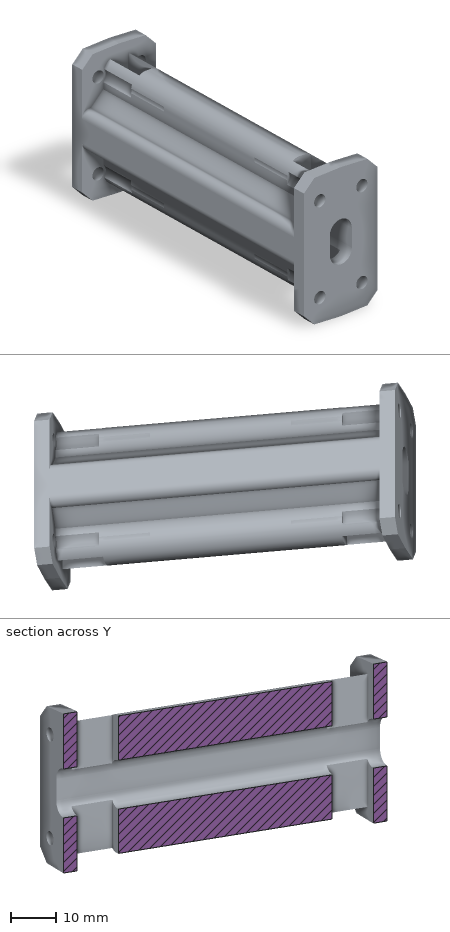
import cadquery as cq
import math

length = 82.0
width = 21.0
height = 37.0

flange_thickness = 3.5
corner_chamfer = 2.95
ridge_rise = 0.3

top_half_height = 16.0
core_width = 9.0
core_corner_radius = 4.0
slope_top_z = 8.5
shoulder_z = 5.0
shoulder_outer_y = 8.5

slot_width = 6.2
slot_height = 11.2

hole_diameter = 3.2
hole_spacing_y = 12.0
hole_spacing_z = 24.0
hole_depth = 25.0
head_clearance_diameter = 4.5
head_clearance_length = 9.8

window_width = 5.2
window_length = 10.3

half_length = length / 2
half_width = width / 2
half_height = height / 2
body_length = length - 2 * flange_thickness
flange_inner_x = half_length - flange_thickness
core_half_width = core_width / 2


def across_x(start_x):
    """Workplane at start_x whose local axes are the part's Y and Z."""
    return cq.Workplane("YZ", origin=(start_x, 0, 0))


def make_flange(start_x):
    shoulder_y = half_width - corner_chamfer
    edge_z = half_height - ridge_rise
    chamfer_z = edge_z - corner_chamfer
    outline = [
        (0, half_height),
        (shoulder_y, edge_z),
        (half_width, chamfer_z),
        (half_width, -chamfer_z),
        (shoulder_y, -edge_z),
        (0, -half_height),
        (-shoulder_y, -edge_z),
        (-half_width, -chamfer_z),
        (-half_width, chamfer_z),
        (-shoulder_y, edge_z),
    ]
    return across_x(start_x).polyline(outline).close().extrude(flange_thickness)


def make_core():
    """Tall bar with rounded long edges."""
    core = cq.Workplane("XY").box(body_length, core_width, 2 * top_half_height)
    return core.edges("|X").fillet(core_corner_radius)


def make_side_rib(side):
    """Rib reaching the flange side, with 45-degree slopes down to its shoulders."""
    slope_run = slope_top_z - shoulder_z
    shoulder_inner_y = core_half_width + slope_run
    round_radius = half_width - shoulder_outer_y
    face_half_height = shoulder_z - round_radius
    round_mid_offset = round_radius * math.sqrt(0.5)
    mid_y = shoulder_outer_y + round_mid_offset
    mid_z = face_half_height + round_mid_offset
    return (
        across_x(-body_length / 2)
        .moveTo(0, slope_top_z)
        .lineTo(side * core_half_width, slope_top_z)
        .lineTo(side * shoulder_inner_y, shoulder_z)
        .lineTo(side * shoulder_outer_y, shoulder_z)
        .threePointArc((side * mid_y, mid_z), (side * half_width, face_half_height))
        .lineTo(side * half_width, -face_half_height)
        .threePointArc((side * mid_y, -mid_z), (side * shoulder_outer_y, -shoulder_z))
        .lineTo(side * shoulder_inner_y, -shoulder_z)
        .lineTo(side * core_half_width, -slope_top_z)
        .lineTo(0, -slope_top_z)
        .close()
        .extrude(body_length)
    )


def make_rods(start_x, diameter, rod_length):
    """Four rods on the screw hole pattern, starting at start_x toward +X."""
    return (
        across_x(start_x)
        .rect(hole_spacing_y, hole_spacing_z, forConstruction=True)
        .vertices()
        .circle(diameter / 2)
        .extrude(rod_length)
    )


def make_end_cuts():
    """Screw holes, head clearances and window at the -X end."""
    holes = make_rods(-half_length, hole_diameter, hole_depth)
    clearances = make_rods(-flange_inner_x, head_clearance_diameter, head_clearance_length)
    window = cq.Workplane("XY").box(window_length, window_width, height)
    window = window.translate((-flange_inner_x + window_length / 2, 0, 0))
    return holes.union(clearances).union(window)


body = make_core()
for side in (-1, 1):
    body = body.union(make_side_rib(side))
for flange_start_x in (-half_length, flange_inner_x):
    body = body.union(make_flange(flange_start_x))

slot = across_x(-half_length).slot2D(slot_height, slot_width, 90).extrude(length)
end_cuts = make_end_cuts()
result = body.cut(slot).cut(end_cuts).cut(end_cuts.mirror("YZ"))